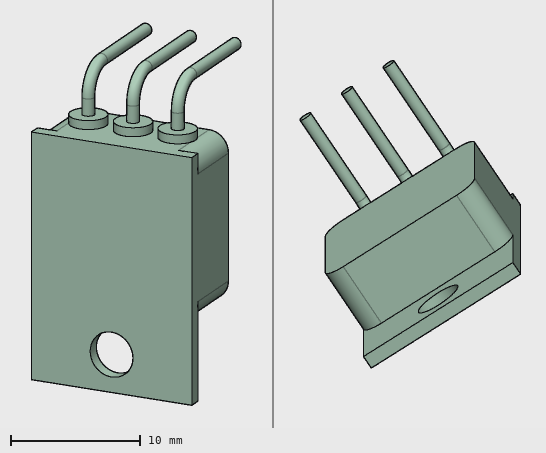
import cadquery as cq

width = 13.73
plate_height = 20.2
plate_thickness = 1.1

hole_diameter = 3.65
hole_height = 3.1

body_back = 6.5
body_height = width
body_corner_radius = 1.65

lead_count = 3
lead_pitch = 3.82
lead_y = 3.8
lead_diameter = 1.0
lead_top = 25.15
lead_tip_y = 13.95
bend_radius = 2.31
collar_diameter = 3.05
collar_height = 0.73


def make_plate():
    plate = cq.Workplane("XY").box(
        width, plate_thickness, plate_height, centered=(True, False, False)
    )
    hole = (
        cq.Workplane("XZ")
        .center(0, hole_height)
        .circle(hole_diameter / 2)
        .extrude(-plate_thickness)
    )
    return plate.cut(hole)


def make_body():
    depth = body_back - plate_thickness
    body_bottom = plate_height - body_height
    return (
        cq.Workplane("XY")
        .box(width, depth, body_height, centered=(True, False, False))
        .edges("|Y")
        .fillet(body_corner_radius)
        .translate((0, plate_thickness, body_bottom))
    )


def make_lead(x):
    collar = (
        cq.Workplane("XY", origin=(x, lead_y, plate_height))
        .circle(collar_diameter / 2)
        .extrude(collar_height)
    )
    axis_top = lead_top - lead_diameter / 2
    axis = (
        cq.Workplane("YZ", origin=(x, 0, 0))
        .moveTo(lead_y, plate_height)
        .lineTo(lead_y, axis_top - bend_radius)
        .radiusArc((lead_y + bend_radius, axis_top), bend_radius)
        .lineTo(lead_tip_y, axis_top)
    )
    wire = (
        cq.Workplane("XY", origin=(x, lead_y, plate_height))
        .circle(lead_diameter / 2)
        .sweep(axis)
    )
    return collar.union(wire)


result = make_plate().union(make_body())
for index in range(lead_count):
    lead_x = (index - (lead_count - 1) / 2) * lead_pitch
    result = result.union(make_lead(lead_x))